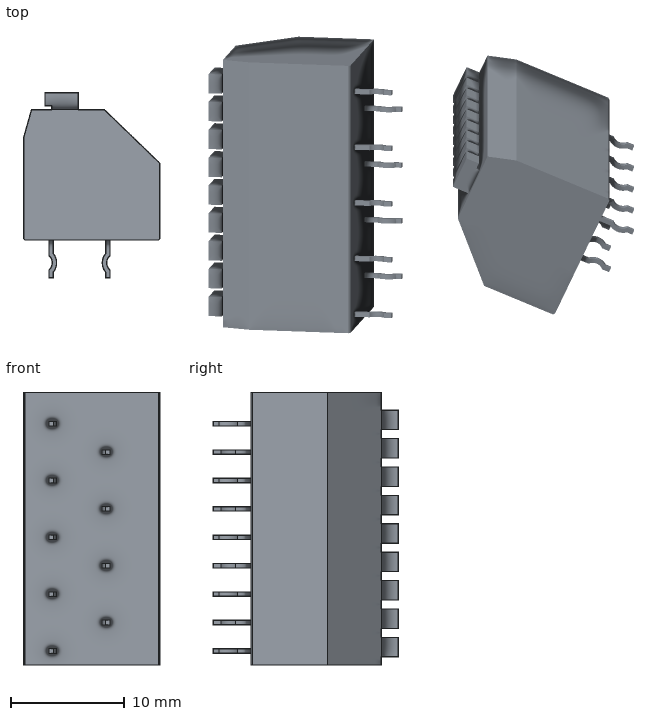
import cadquery as cq
import math

housing_height = 24.0
housing_width = 12.0
housing_depth = 11.5
base_chamfer = 0.15
left_bevel_width = 0.7
left_bevel_depth = 2.47
right_bevel_width = 4.9
right_bevel_depth = 4.73

pole_count = 9
pole_span = 20.0
pole_pitch = pole_span / (pole_count - 1)

button_left = 1.87
button_width = 2.95
button_rise = 1.5
button_height = 1.73
lowest_button_z = 1.58
notch_width = 0.6
notch_rise = 0.3

pin_thickness = 0.4
pin_length = 3.3
left_row_x = 2.42
row_spacing = 5.0
right_row_x = left_row_x + row_spacing
lowest_pin_z = 1.25
kink_y = -2.0
kink_inner_radius = 0.86
kink_outer_radius = kink_inner_radius + pin_thickness
kink_inner_half_chord = 0.65


def prism(outline, middle_z, height):
    """Extrude an XY outline equally up and down from middle_z."""
    return outline.extrude(height / 2, both=True).translate((0, 0, middle_z))


def make_housing():
    outline = (
        cq.Workplane("XY")
        .moveTo(base_chamfer, 0)
        .lineTo(housing_width - base_chamfer, 0)
        .lineTo(housing_width, base_chamfer)
        .lineTo(housing_width, housing_depth - right_bevel_depth)
        .lineTo(housing_width - right_bevel_width, housing_depth)
        .lineTo(left_bevel_width, housing_depth)
        .lineTo(0, housing_depth - left_bevel_depth)
        .lineTo(0, base_chamfer)
        .close()
    )
    return prism(outline, housing_height / 2, housing_height)


def make_button(middle_z):
    """Block with a notch under its left end."""
    button_right = button_left + button_width
    button_top = housing_depth + button_rise
    notch_top = housing_depth + notch_rise
    outline = (
        cq.Workplane("XY")
        .moveTo(button_left + notch_width, housing_depth)
        .lineTo(button_right, housing_depth)
        .lineTo(button_right, button_top)
        .lineTo(button_left, button_top)
        .lineTo(button_left, notch_top)
        .lineTo(button_left + notch_width, notch_top)
        .close()
    )
    return prism(outline, middle_z, button_height)


def make_pin(row_x, kink_side, middle_z):
    """Square pin kinked toward kink_side (+1 for +X, -1 for -X) along two concentric arcs."""
    inner_face = -pin_thickness / 2
    outer_face = pin_thickness / 2
    arc_center = inner_face - math.sqrt(kink_inner_radius**2 - kink_inner_half_chord**2)
    inner_crest = arc_center + kink_inner_radius
    outer_crest = arc_center + kink_outer_radius
    outer_half_chord = math.sqrt(kink_outer_radius**2 - (outer_face - arc_center) ** 2)

    def point(offset, y):
        return (row_x + kink_side * offset, y)

    outline = (
        cq.Workplane("XY")
        .moveTo(*point(inner_face, 0))
        .lineTo(*point(inner_face, kink_y + kink_inner_half_chord))
        .threePointArc(point(inner_crest, kink_y), point(inner_face, kink_y - kink_inner_half_chord))
        .lineTo(*point(inner_face, -pin_length))
        .lineTo(*point(outer_face, -pin_length))
        .lineTo(*point(outer_face, kink_y - outer_half_chord))
        .threePointArc(point(outer_crest, kink_y), point(outer_face, kink_y + outer_half_chord))
        .lineTo(*point(outer_face, 0))
        .close()
    )
    return prism(outline, middle_z, pin_thickness)


result = make_housing()
for pole in range(pole_count):
    pole_z = pole * pole_pitch
    result = result.union(make_button(lowest_button_z + pole_z))
    if pole % 2 == 0:
        pin = make_pin(left_row_x, 1, lowest_pin_z + pole_z)
    else:
        pin = make_pin(right_row_x, -1, lowest_pin_z + pole_z)
    result = result.union(pin)